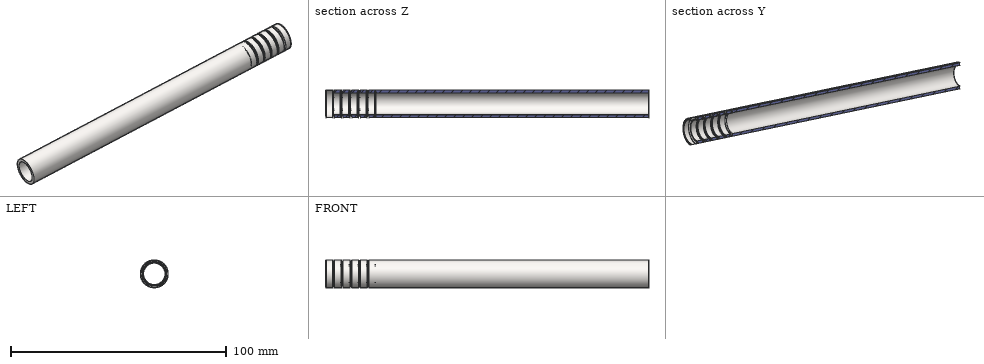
import cadquery as cq
import math

length = 150.37
outer_diameter = 13.0
bore_diameter = 10.0
outer_radius = outer_diameter / 2
bore_radius = bore_diameter / 2

ring_pitch = 4.0
joint_count = 5
groove_mouth_width = 0.8
flank_angle = 15.0

lip_diameter = 11.5
lip_land = 0.3
chamber_diameter = 12.625
chamber_depth = 3.2
lip_radius = lip_diameter / 2
chamber_radius = chamber_diameter / 2

neck_diameter = 11.125
flange_diameter = 11.875
neck_radius = neck_diameter / 2
flange_radius = flange_diameter / 2

flank_slope = math.tan(math.radians(flank_angle))
rim_setback = (outer_radius - lip_radius) * flank_slope
bore_edge_x = chamber_depth + (chamber_radius - bore_radius) * flank_slope


def revolve_about_x(points):
    """Turn a closed outline of (x, radius) points once around the X axis."""
    return cq.Workplane("XY").polyline(points).close().revolve(360, (0, 0, 0), (1, 0, 0))


def make_socketed_tube():
    """Tube with a sloping rim and an undercut socket in its -X end."""
    lip_back_x = lip_land + (chamber_radius - lip_radius) * flank_slope
    return revolve_about_x(
        [
            (rim_setback, outer_radius),
            (length, outer_radius),
            (length, bore_radius),
            (bore_edge_x, bore_radius),
            (chamber_depth, chamber_radius),
            (lip_back_x, chamber_radius),
            (lip_land, lip_radius),
            (0, lip_radius),
        ]
    )


def make_groove_cutter(mouth_end_x, mouth_radius, floor_radius):
    """Ring that narrows from its mouth to its floor; mouth_end_x is the +X edge of the mouth."""
    flank_run = abs(mouth_radius - floor_radius) * flank_slope
    mouth_start_x = mouth_end_x - groove_mouth_width
    return revolve_about_x(
        [
            (mouth_start_x, mouth_radius),
            (mouth_end_x, mouth_radius),
            (mouth_end_x - flank_run, floor_radius),
            (mouth_start_x + flank_run, floor_radius),
        ]
    )


def cut_joint(body, ring_x):
    """Cut the outer groove before the ring starting at ring_x, and the bore groove at its chamber floor."""
    outer_groove = make_groove_cutter(ring_x + rim_setback, outer_radius, neck_radius)
    bore_groove = make_groove_cutter(ring_x + bore_edge_x, bore_radius, flange_radius)
    return body.cut(outer_groove).cut(bore_groove)


result = make_socketed_tube()
for joint in range(1, joint_count + 1):
    result = cut_joint(result, joint * ring_pitch)